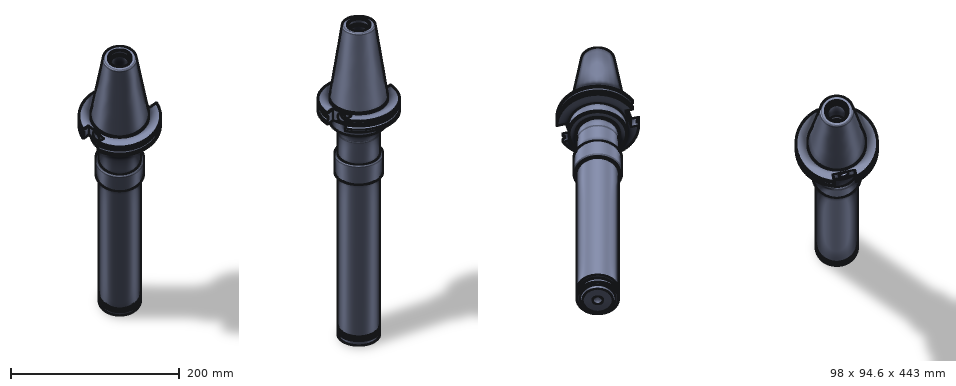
import cadquery as cq
import math

length = 443.0

taper_length = 102.0
gauge_diameter = 69.5
gauge_z = length - taper_length
taper_ratio = 7 / 24
taper_end_diameter = gauge_diameter - taper_length * taper_ratio
taper_end_round = 1.8

land_diameter = 70.0
land_edge = 1.0

flange_diameter = 98.0
flange_top_z = 338.0
flange_height = 16.5
flange_bottom_z = flange_top_z - flange_height
flange_edge = 1.0
groove_mid_z = 330.0
groove_width = 8.0
groove_floor_width = 2.5
groove_depth = 2.5

slot_width = 25.5
back_slot_floor = 35.5
front_slot_floor = 37.5
slot_edge = 1.0
slot_overrun = 4.5
slot_hole_diameter = 12.0
slot_hole_depth = 6.5
drill_point_angle = 118

collar_diameter = land_diameter
collar_bottom_z = 306.5
collar_chamfer = 1.5

neck_diameter = 50.0
neck_bottom_z = 292.3
step_height = 1.0
root_edge = 1.5
shank_diameter = 50.5
ring_diameter = 58.0
ring_top_z = 261.0
ring_bottom_z = 234.0
ring_round = 1.5

tip_groove_diameter = 42.0
tip_groove_top_z = 17.3
tip_groove_bottom_z = 11.5
tip_rim_bottom_z = 3.5
tip_end_diameter = 36.0
tip_edge = 1.0

mouth_diameter = 28.0
pilot_diameter = 25.5
pilot_depth = 7.0
thread_diameter = 22.0
thread_depth = 44.5
feed_diameter = 14.0
feed_depth = 88.5
through_diameter = 12.0


def revolve_steps(steps):
    """Revolve a solid about Z from (diameter, z) pairs listed along its outside."""
    outline = [(diameter / 2, z) for diameter, z in steps]
    first_z = outline[0][1]
    last_z = outline[-1][1]
    points = [(0, first_z)] + outline + [(0, last_z)]
    return cq.Workplane("XZ").polyline(points).close().revolve(360, (0, 0, 0), (0, 1, 0))


def round_outer_edge(solid, z, radius):
    """Round the widest circular edge that lies at height z."""
    margin = 0.05
    at_height = cq.selectors.BoxSelector(
        (-flange_diameter, -flange_diameter, z - margin),
        (flange_diameter, flange_diameter, z + margin),
    )
    widest = cq.selectors.RadiusNthSelector(-1)
    return solid.edges(at_height).edges("%CIRCLE").edges(widest).fillet(radius)


def body():
    """Outside of the holder, turned about Z, without slots or bore."""
    groove_diameter = flange_diameter - 2 * groove_depth
    flange_edge_diameter = flange_diameter - 2 * flange_edge
    turned = revolve_steps([
        (taper_end_diameter, length),
        (gauge_diameter, gauge_z),
        (land_diameter, gauge_z),
        (land_diameter, flange_top_z + land_edge),
        (land_diameter - 2 * land_edge, flange_top_z),
        (flange_edge_diameter, flange_top_z),
        (flange_diameter, flange_top_z - flange_edge),
        (flange_diameter, groove_mid_z + groove_width / 2),
        (groove_diameter, groove_mid_z + groove_floor_width / 2),
        (groove_diameter, groove_mid_z - groove_floor_width / 2),
        (flange_diameter, groove_mid_z - groove_width / 2),
        (flange_diameter, flange_bottom_z + flange_edge),
        (flange_edge_diameter, flange_bottom_z),
        (collar_diameter, flange_bottom_z),
        (collar_diameter, collar_bottom_z + collar_chamfer),
        (collar_diameter - 2 * collar_chamfer, collar_bottom_z),
        (neck_diameter + 2 * root_edge, collar_bottom_z),
        (neck_diameter, collar_bottom_z - root_edge),
        (neck_diameter, neck_bottom_z),
        (shank_diameter, neck_bottom_z - step_height),
        (shank_diameter, ring_top_z),
        (ring_diameter, ring_top_z),
        (ring_diameter, ring_bottom_z),
        (shank_diameter + 2 * root_edge, ring_bottom_z),
        (shank_diameter, ring_bottom_z - root_edge),
        (shank_diameter, tip_groove_top_z),
        (tip_groove_diameter, tip_groove_top_z),
        (tip_groove_diameter, tip_groove_bottom_z),
        (shank_diameter - 2 * tip_edge, tip_groove_bottom_z),
        (shank_diameter, tip_groove_bottom_z - tip_edge),
        (shank_diameter, tip_rim_bottom_z + tip_edge),
        (shank_diameter - 2 * tip_edge, tip_rim_bottom_z),
        (tip_groove_diameter, tip_rim_bottom_z),
        (tip_end_diameter, 0),
    ])
    turned = round_outer_edge(turned, length, taper_end_round)
    turned = round_outer_edge(turned, ring_top_z, ring_round)
    return round_outer_edge(turned, ring_bottom_z, ring_round)


def bore():
    """Stepped bore along Z, as a solid to cut away."""
    mouth_chamfer = (mouth_diameter - pilot_diameter) / 2
    pilot_z = length - pilot_depth
    thread_chamfer = (pilot_diameter - thread_diameter) / 2
    return revolve_steps([
        (mouth_diameter, length),
        (pilot_diameter, length - mouth_chamfer),
        (pilot_diameter, pilot_z),
        (thread_diameter, pilot_z - thread_chamfer),
        (thread_diameter, length - thread_depth),
        (feed_diameter, length - thread_depth),
        (feed_diameter, length - feed_depth),
        (through_diameter, length - feed_depth),
        (through_diameter, 0),
    ])


def drive_slot(floor_y):
    """Slot on the +Y side, broken edges along its walls, and its hole ending in a drill point."""
    slot_depth = flange_diameter / 2 - floor_y + slot_overrun
    slot = (
        cq.Workplane("XY")
        .box(slot_width, slot_depth, flange_height, centered=(True, False, False))
        .translate((0, floor_y, flange_bottom_z))
    )
    half_width = slot_width / 2
    edge_section = [
        (-half_width - slot_edge, flange_top_z),
        (half_width + slot_edge, flange_top_z),
        (half_width, flange_top_z - slot_edge),
        (-half_width, flange_top_z - slot_edge),
    ]
    edge_break = cq.Workplane("XZ").polyline(edge_section).close().extrude(-slot_depth)
    edge_break = edge_break.translate((0, floor_y, 0))

    radius = slot_hole_diameter / 2
    point_length = radius / math.tan(math.radians(drill_point_angle / 2))
    hole_bottom_y = floor_y - slot_hole_depth
    half_section = [
        (0, floor_y),
        (radius, floor_y),
        (radius, hole_bottom_y),
        (0, hole_bottom_y - point_length),
    ]
    drill = cq.Workplane("XY").polyline(half_section).close().revolve(360, (0, 0, 0), (0, 1, 0))
    return slot.union(edge_break).union(drill.translate((0, 0, groove_mid_z)))


back_slot = drive_slot(back_slot_floor)
front_slot = drive_slot(front_slot_floor).mirror("XZ")
result = body().cut(bore()).cut(back_slot).cut(front_slot)